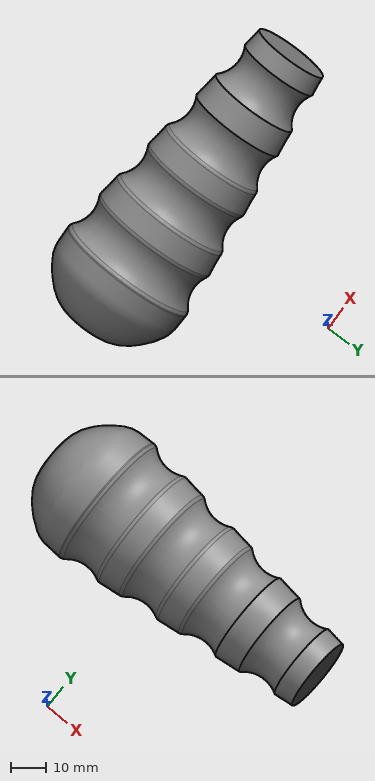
import cadquery as cq
import math

LENGTH = 98.2
MAX_RADIUS = 20.88
END_RADIUS = 11.2
DOME_LENGTH = 19.9
DOME_SHOULDERS = [(2.4, 11.9), (10.0, 19.1)]

FIRST_GROOVE_START = 20.9
GROOVE_PITCH = 19.8
GROOVE_WIDTH = 11.9
GROOVE_COUNT = 4
GROOVE_RADIUS = 9.8
CREST_FILLET = 2.0
ROUNDED_CREST_COUNT = 5

POSITION_TOLERANCE = 0.01


def taper_radius(x):
    """Radius of the tapered grip at position x."""
    return MAX_RADIUS + (END_RADIUS - MAX_RADIUS) * (x - DOME_LENGTH) / (LENGTH - DOME_LENGTH)


def groove_bottom(start, end):
    """Middle point of the concave groove arc spanning two positions on the taper."""
    start_radius = taper_radius(start)
    end_radius = taper_radius(end)
    chord = math.hypot(end - start, end_radius - start_radius)
    sag = GROOVE_RADIUS - math.sqrt(GROOVE_RADIUS**2 - (chord / 2) ** 2)
    x = (start + end) / 2 + sag * (end_radius - start_radius) / chord
    radius = (start_radius + end_radius) / 2 - sag * (end - start) / chord
    return x, radius


groove_starts = [FIRST_GROOVE_START + i * GROOVE_PITCH for i in range(GROOVE_COUNT)]
grooves = [(start, start + GROOVE_WIDTH) for start in groove_starts]


def handle_body():
    """Solid of revolution with sharp groove crests."""
    profile = cq.Workplane("XY").spline(
        [(0, 0), *DOME_SHOULDERS, (DOME_LENGTH, MAX_RADIUS)],
        tangents=[(0, 1), (1, 0)],
    )
    for start, end in grooves:
        profile = profile.lineTo(start, taper_radius(start))
        profile = profile.threePointArc(groove_bottom(start, end), (end, taper_radius(end)))
    profile = profile.lineTo(LENGTH, END_RADIUS).lineTo(LENGTH, 0).close()
    return profile.revolve(360, (0, 0, 0), (1, 0, 0))


def round_crests(body):
    """Fillet the circular crest edges nearest the dome."""
    crests = [x for groove in grooves for x in groove][:ROUNDED_CREST_COUNT]

    def is_rounded_crest(edge):
        bounds = edge.BoundingBox()
        is_ring = bounds.xlen < POSITION_TOLERANCE
        return is_ring and any(abs(bounds.xmin - x) < POSITION_TOLERANCE for x in crests)

    return body.edges().filter(is_rounded_crest).fillet(CREST_FILLET)


result = round_crests(handle_body())